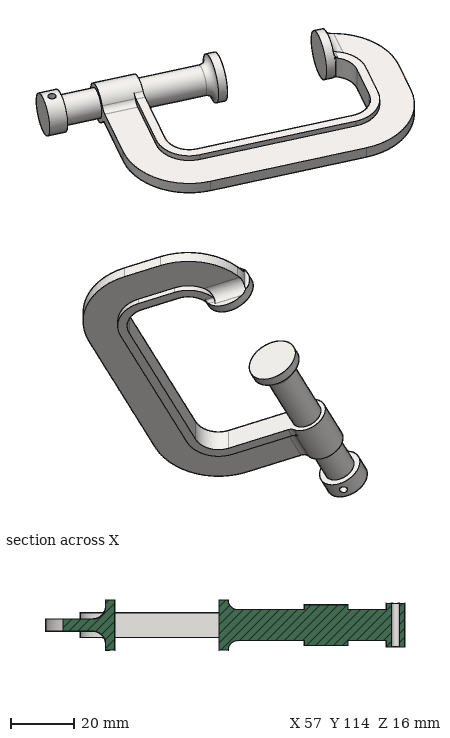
import cadquery as cq
import math


web_width = 14.0
web_thickness = 4.0
rim_width = 3.0
rim_thickness = 8.0

inner_right = 35.0
inner_back = 8.0
inner_front = -60.0
inner_radius = 8.0
jaw_bend_x = 14.5

pad_radius = 8.0
pad_thickness = 3.0
web_foot_radius = 4.0
end_foot_radius = 1.0

bend_y = inner_back - inner_radius
web_bend_radius = inner_radius + web_width
rim_bend_radius = inner_radius + rim_width
tip_radius = web_bend_radius / 2
tip_center_y = pad_thickness + end_foot_radius

collar_radius = 6.5
collar_fillet = 3.0

screw_radius = 5.0
screw_face = -33.0
screw_fillet = pad_radius - screw_radius
head_radius = 7.0
head_length = 6.0
screw_length = 59.0
cross_hole_diameter = 2.5


def y_cylinder(radius, y_start, y_end):
    """Solid cylinder on the screw axis."""
    return cq.Workplane("XZ", origin=(0, y_start, 0)).circle(radius).extrude(y_start - y_end)


def frame_band(width, thickness):
    """Bent band of the given width, measured outward from the frame opening, up to the jaw bend."""
    right = inner_right + width
    back = inner_back + width
    front = inner_front - width
    radius = inner_radius + width
    corner_x = inner_right - inner_radius
    front_corner_y = inner_front + inner_radius
    diagonal = math.sqrt(0.5)

    def corner_mid(bend_radius, y, side):
        return (corner_x + bend_radius * diagonal, y + side * bend_radius * diagonal)

    return (
        cq.Workplane("XY", origin=(0, 0, -thickness / 2))
        .moveTo(jaw_bend_x, back)
        .lineTo(corner_x, back)
        .threePointArc(corner_mid(radius, bend_y, 1), (right, bend_y))
        .lineTo(right, front_corner_y)
        .threePointArc(corner_mid(radius, front_corner_y, -1), (corner_x, front))
        .lineTo(0, front)
        .lineTo(0, inner_front)
        .lineTo(corner_x, inner_front)
        .threePointArc(corner_mid(inner_radius, front_corner_y, -1), (inner_right, front_corner_y))
        .lineTo(inner_right, bend_y)
        .threePointArc(corner_mid(inner_radius, bend_y, 1), (corner_x, inner_back))
        .lineTo(jaw_bend_x, inner_back)
        .close()
        .extrude(thickness)
    )


def bend_point(radius, angle):
    """Point on a jaw bend arc, at an angle above the -X direction."""
    return (jaw_bend_x - radius * math.cos(angle), bend_y + radius * math.sin(angle))


def bend_angle(radius, y):
    """Angle above the -X direction at which a jaw bend arc reaches the given Y."""
    return math.asin((y - bend_y) / radius)


def bend_middle(radius, end_angle):
    """Midpoint of a jaw bend arc from its top down to the end angle."""
    return bend_point(radius, (math.pi / 2 + end_angle) / 2)


def web_jaw_outline(tip_center_x, tip_angle):
    """Outer part of the jaw bend, ending in a tighter tip arc that turns parallel to Y."""
    rim_angle = bend_angle(rim_bend_radius, pad_thickness)
    tip_x = tip_center_x - tip_radius
    tip_middle = (
        tip_center_x - tip_radius * math.cos(tip_angle / 2),
        tip_center_y + tip_radius * math.sin(tip_angle / 2),
    )
    return (
        cq.Workplane("XY")
        .moveTo(*bend_point(web_bend_radius, math.pi / 2))
        .threePointArc(bend_middle(web_bend_radius, tip_angle), bend_point(web_bend_radius, tip_angle))
        .threePointArc(tip_middle, (tip_x, tip_center_y))
        .lineTo(tip_x, pad_thickness)
        .lineTo(*bend_point(rim_bend_radius, rim_angle))
        .threePointArc(bend_middle(rim_bend_radius, rim_angle), bend_point(rim_bend_radius, math.pi / 2))
        .close()
    )


def rim_jaw_outline():
    """Inner part of the jaw bend, between the rim and opening arcs."""
    rim_angle = bend_angle(rim_bend_radius, pad_thickness)
    inner_angle = bend_angle(inner_radius, pad_thickness)
    return (
        cq.Workplane("XY")
        .moveTo(*bend_point(rim_bend_radius, math.pi / 2))
        .threePointArc(bend_middle(rim_bend_radius, rim_angle), bend_point(rim_bend_radius, rim_angle))
        .lineTo(*bend_point(inner_radius, inner_angle))
        .threePointArc(bend_middle(inner_radius, inner_angle), bend_point(inner_radius, math.pi / 2))
        .close()
    )


def end_foot(end_x, side):
    """Concave fillet at the end of a jaw outline, spreading along X onto the pad."""
    sag = end_foot_radius * (1 - math.sqrt(0.5))
    return (
        cq.Workplane("XY")
        .moveTo(end_x, pad_thickness)
        .lineTo(end_x, pad_thickness + end_foot_radius)
        .threePointArc(
            (end_x + side * sag, pad_thickness + sag),
            (end_x + side * end_foot_radius, pad_thickness),
        )
        .close()
        .extrude(pad_radius, both=True)
    )


def flared_slab(thickness, foot_radius):
    """Slab along X whose two flat sides spread in concave fillets onto the pad."""
    half = thickness / 2
    foot_top = pad_thickness + foot_radius
    sag = foot_radius * (1 - math.sqrt(0.5))
    return (
        cq.Workplane("YZ")
        .moveTo(foot_top, half)
        .threePointArc((pad_thickness + sag, half + sag), (pad_thickness, half + foot_radius))
        .lineTo(pad_thickness, -half - foot_radius)
        .threePointArc((pad_thickness + sag, -half - sag), (foot_top, -half))
        .close()
        .extrude(2 * pad_radius, both=True)
    )


def jaw_part(outline, thickness, foot_radius, end_x, side):
    """Jaw band with fillets onto the pad, kept within the pad's round edge."""
    column = outline.extrude(pad_radius, both=True)
    slab_size = 4 * web_bend_radius
    flat_slab = cq.Workplane("XY").box(slab_size, slab_size, thickness)
    foot = (
        column.union(end_foot(end_x, side))
        .intersect(flared_slab(thickness, foot_radius))
        .intersect(y_cylinder(pad_radius, pad_thickness + foot_radius, 0))
    )
    return column.intersect(flat_slab).union(foot)


def make_jaw():
    """Bent jaw end of the frame, carrying the anvil pad."""
    tip_offset = web_bend_radius - tip_radius
    tip_angle = bend_angle(tip_offset, tip_center_y)
    tip_center_x = bend_point(tip_offset, tip_angle)[0]
    tip_x = tip_center_x - tip_radius
    web_outline = web_jaw_outline(tip_center_x, tip_angle)
    rim_end_x = bend_point(inner_radius, bend_angle(inner_radius, pad_thickness))[0]
    web_jaw = jaw_part(web_outline, web_thickness, web_foot_radius, tip_x, -1)
    rim_jaw = jaw_part(rim_jaw_outline(), rim_thickness, end_foot_radius, rim_end_x, 1)
    return web_jaw.union(rim_jaw).union(y_cylinder(pad_radius, pad_thickness, 0))


def collar_blend(thickness, y_start, y_end):
    """Neck filling the concave fillets between the collar and a band of the frame."""
    half = thickness / 2
    center_z = half + collar_fillet
    center_distance = collar_radius + collar_fillet
    end_x = math.sqrt(center_distance**2 - center_z**2)
    touch_x = end_x * collar_radius / center_distance
    touch_z = center_z * collar_radius / center_distance
    touch_angle = math.atan2(touch_z - center_z, touch_x - end_x)
    mid_angle = (touch_angle - math.pi / 2) / 2
    mid_x = end_x + collar_fillet * math.cos(mid_angle)
    mid_z = center_z + collar_fillet * math.sin(mid_angle)
    return (
        cq.Workplane("XZ", origin=(0, y_start, 0))
        .moveTo(0, touch_z)
        .lineTo(touch_x, touch_z)
        .threePointArc((mid_x, mid_z), (end_x, half))
        .lineTo(end_x, -half)
        .threePointArc((mid_x, -mid_z), (touch_x, -touch_z))
        .lineTo(0, -touch_z)
        .close()
        .extrude(y_start - y_end)
    )


def make_screw():
    """Screw with a flared pad on its inner end and a cross-drilled head."""
    pad_back = screw_face - pad_thickness
    shank_start = pad_back - screw_fillet
    end = screw_face - screw_length
    head_start = end + head_length
    bulge = screw_fillet * (1 - math.sqrt(0.5))
    screw = (
        cq.Workplane("XY")
        .moveTo(0, screw_face)
        .lineTo(pad_radius, screw_face)
        .lineTo(pad_radius, pad_back)
        .threePointArc((screw_radius + bulge, pad_back - bulge), (screw_radius, shank_start))
        .lineTo(screw_radius, head_start)
        .lineTo(head_radius, head_start)
        .lineTo(head_radius, end)
        .lineTo(0, end)
        .close()
        .revolve(360, (0, 0, 0), (0, 1, 0))
    )
    cross_hole = (
        cq.Workplane("XY", origin=(0, end + head_length / 2, -head_radius))
        .circle(cross_hole_diameter / 2)
        .extrude(2 * head_radius)
    )
    return screw.cut(cross_hole)


frame = frame_band(web_width, web_thickness).union(frame_band(rim_width, rim_thickness))

rim_front = inner_front - rim_width
frame_front = inner_front - web_width
collar = (
    y_cylinder(collar_radius, inner_front, frame_front)
    .union(collar_blend(rim_thickness, inner_front, rim_front))
    .union(collar_blend(web_thickness, rim_front, frame_front))
)

result = frame.union(make_jaw()).union(collar).union(make_screw())